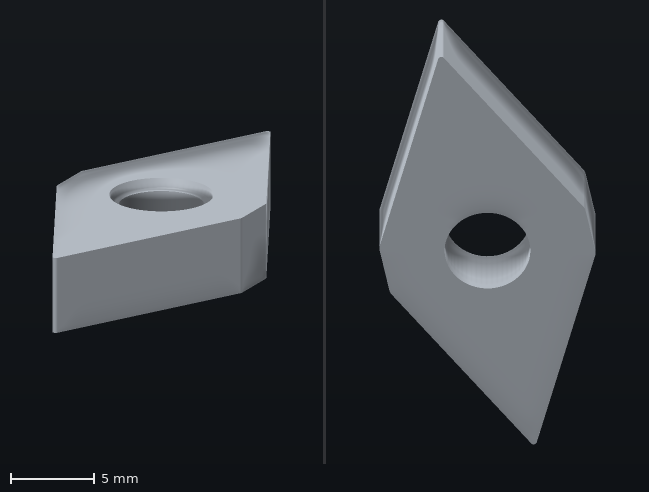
import cadquery as cq
import math

width = 12.7
length = 24.03
thickness = 4.75
tip_angle = math.radians(55)
tip_radius = 0.2

flat_leg = 1.75
flat_edge_radius = 0.5

hole_diameter = 5.17
seat_top_diameter = 6.3
seat_floor_diameter = 5.8
seat_depth = 0.65
seat_fillet_radius = 0.2

half_width = width / 2
sharp_tip_y = length / 2 - tip_radius + tip_radius / math.tan(tip_angle / 2)
obtuse_y = sharp_tip_y - width / math.tan(tip_angle)


def make_body():
    """Rhombus with rounded acute tips and blended flats on the obtuse corners."""
    flat_inner_x = half_width - flat_leg * math.sin(tip_angle)
    flat_inner_y = obtuse_y + flat_leg * math.cos(tip_angle)
    half_outline = [
        (-half_width, sharp_tip_y),
        (flat_inner_x, flat_inner_y),
        (half_width, obtuse_y - flat_leg),
    ]
    opposite_half = [(-x, -y) for x, y in half_outline]
    body = cq.Workplane("XY").polyline(half_outline + opposite_half).close().extrude(thickness)

    tips = [half_outline[0], opposite_half[0]]
    flat_corners = half_outline[1:] + opposite_half[1:]
    for corners, radius in ((tips, tip_radius), (flat_corners, flat_edge_radius)):
        for x, y in corners:
            edge = cq.selectors.NearestToPointSelector((x, y, thickness / 2))
            body = body.edges(edge).fillet(radius)
    return body


def make_hole_cutter():
    """Through hole joined to its tapered seat."""
    seat_z = thickness - seat_depth
    hole = cq.Workplane("XY").circle(hole_diameter / 2).extrude(thickness)
    seat = (
        cq.Workplane("XY", origin=(0, 0, seat_z))
        .circle(seat_floor_diameter / 2)
        .workplane(offset=seat_depth)
        .circle(seat_top_diameter / 2)
        .loft(ruled=True)
        .faces("<Z")
        .edges()
        .fillet(seat_fillet_radius)
    )
    return hole.union(seat)


result = make_body().cut(make_hole_cutter())